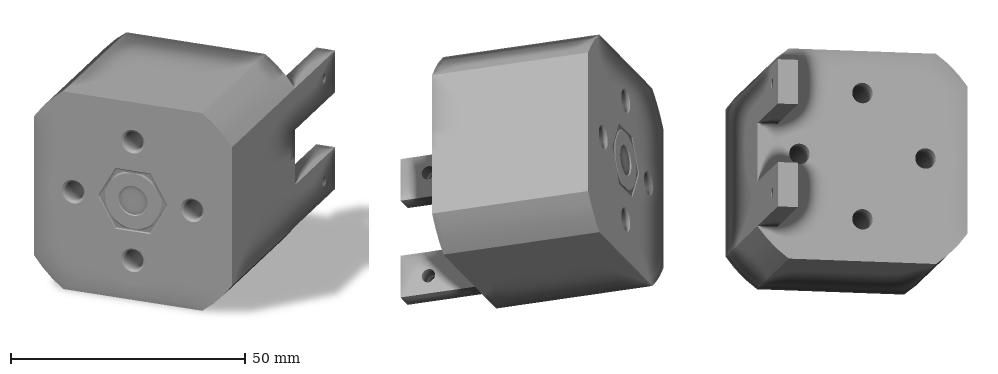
import cadquery as cq
import math

housing_width = 45.75
housing_depth = 35.65
corner_radius = 27.9
total_length = 58.4

hole_diameter = 4.45
hole_chamfer = 0.45
hole_spacing = 13.7

tab_thickness = 4.4
tab_gap = 12.75
tab_length = total_length - housing_depth
tab_hole_diameter = 2.2
tab_counterbore_diameter = 3.05
tab_counterbore_depth = 3.2
tab_hole_from_tip = 6.35
tab_hole_height = 11.9

socket_depth = 6.4
socket_flats = 13.55
mouth_chamfer = 0.25

boss_flats = 12.75
boss_height = mouth_chamfer
boss_chamfer_angle = 30.0
bore_chamfer = 0.2

pin_diameter = 6.4
pin_recess = 0.35

half_width = housing_width / 2
flat_half_height = math.sqrt(corner_radius ** 2 - half_width ** 2)
tab_height = flat_half_height - tab_gap / 2
tab_center_height = (flat_half_height + tab_gap / 2) / 2


def cylinder(diameter, start, end):
    """Cylinder on the Y axis between two Y positions."""
    center = cq.Vector(0, start, 0)
    return cq.Workplane(cq.Solid.makeCylinder(diameter / 2, end - start, center, cq.Vector(0, 1, 0)))


def hexagon(flats, depth, wall_angle=0):
    """Hexagonal prism from the front face along +Y, narrowing at the wall angle, corners on the X axis."""
    corner_diameter = flats / math.cos(math.radians(30))
    return cq.Workplane("XZ").polygon(6, corner_diameter).extrude(-depth, taper=wall_angle)


def countersunk_cutter(diameter, chamfer, length, start, direction):
    """Drill with a 45-degree countersink at its start."""
    radius = diameter / 2
    drill = cq.Solid.makeCylinder(radius, length, start, direction)
    sink = cq.Solid.makeCone(radius + chamfer, radius, chamfer, start, direction)
    return cq.Workplane(drill).union(cq.Workplane(sink))


def tab_hole_cutter(start):
    """Counterbore along +X with a 45-degree conical floor leading into a smaller through hole."""
    axis = cq.Vector(1, 0, 0)
    hole_radius = tab_hole_diameter / 2
    bore_radius = tab_counterbore_diameter / 2
    floor_start = start + axis * tab_counterbore_depth
    hole = cq.Solid.makeCylinder(hole_radius, tab_thickness, start, axis)
    bore = cq.Solid.makeCylinder(bore_radius, tab_counterbore_depth, start, axis)
    floor = cq.Solid.makeCone(bore_radius, hole_radius, bore_radius - hole_radius, floor_start, axis)
    return cq.Workplane(hole).union(cq.Workplane(bore)).union(cq.Workplane(floor))


def make_tab(side):
    """Rear tab above (side = 1) or below (side = -1) the middle, with its cross hole."""
    inner_x = half_width - tab_thickness
    tab = cq.Workplane("XY").box(tab_thickness, tab_length, tab_height).translate((
        inner_x + tab_thickness / 2,
        housing_depth + tab_length / 2,
        side * tab_center_height,
    ))
    hole_start = cq.Vector(inner_x, total_length - tab_hole_from_tip, side * tab_hole_height)
    return tab.cut(tab_hole_cutter(hole_start))


def make_housing():
    """Square block with round corners, chamfered nut socket, four holes and two tabs."""
    block = cq.Workplane("XY").box(housing_width, housing_depth, housing_width)
    block = block.translate((0, housing_depth / 2, 0))
    body = block.intersect(cylinder(2 * corner_radius, 0, housing_depth))
    body = body.cut(hexagon(socket_flats, socket_depth))
    body = body.cut(hexagon(socket_flats + 2 * mouth_chamfer, mouth_chamfer, wall_angle=45))
    for x, z in ((1, 0), (0, 1), (-1, 0), (0, -1)):
        start = cq.Vector(x * hole_spacing, 0, z * hole_spacing)
        body = body.cut(countersunk_cutter(
            hole_diameter, hole_chamfer, housing_depth, start, cq.Vector(0, 1, 0)
        ))
    for side in (1, -1):
        body = body.union(make_tab(side))
    return body


def make_nut():
    """Hexagonal nut with a smaller cone-chamfered boss and a bore chamfered at the front."""
    front = cq.Vector(0, 0, 0)
    axis = cq.Vector(0, 1, 0)
    face_radius = boss_flats / 2
    base_radius = face_radius + boss_height / math.tan(math.radians(boss_chamfer_angle))
    cone = cq.Solid.makeCone(face_radius, base_radius, boss_height, front, axis)
    boss = hexagon(boss_flats, boss_height).intersect(cq.Workplane(cone))
    base = hexagon(socket_flats, socket_depth - boss_height).translate((0, boss_height, 0))
    body = base.union(boss)
    return body.cut(countersunk_cutter(pin_diameter, bore_chamfer, socket_depth, front, axis))


def make_pin():
    """Round pin filling the nut bore, its front end set back."""
    return cylinder(pin_diameter, pin_recess, socket_depth)


housing = make_housing()
nut = make_nut()
pin = make_pin()

result = cq.Compound.makeCompound([housing.solids().val(), nut.solids().val(), pin.val()])